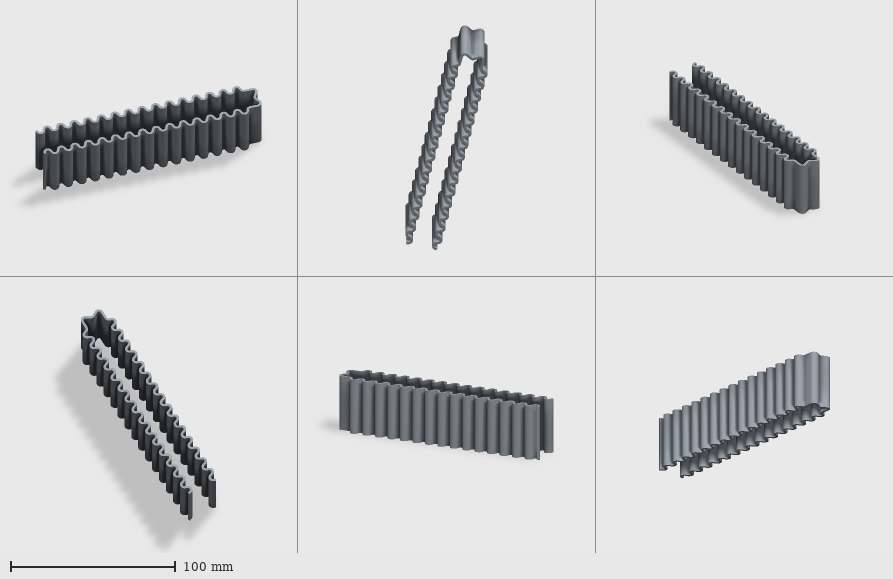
import cadquery as cq
import math

OVERALL_WIDTH = 23.0
OVERALL_LENGTH = 138.3
HEIGHT = 34.0
THICKNESS = 1.5
INSIDE_BEND_RADIUS = 1.2
WAVE_DEPTH = 5.5
WAVE_COUNT = 15
WAVES_LENGTH = 127.5
DIP_DEPTH = 2.2

BEND_RADIUS = INSIDE_BEND_RADIUS + THICKNESS / 2
HALF_PITCH = WAVES_LENGTH / WAVE_COUNT / 2
CREST_OFFSET = WAVE_DEPTH - THICKNESS
LEG_X = OVERALL_WIDTH / 2 - WAVE_DEPTH + THICKNESS / 2
TOP_Y = OVERALL_LENGTH / 2 - THICKNESS / 2
DIP_Y = TOP_Y - DIP_DEPTH


def tangent_between_bends(run, rise):
    """Length and slope (degrees from X) of the straight joining two opposite bends.

    run and rise are the X and Y distances between the centres of the bends,
    which turn in opposite directions.
    """
    length = math.sqrt(run**2 + rise**2 - (2 * BEND_RADIUS) ** 2)
    slope = math.atan2(rise, run) - math.atan2(2 * BEND_RADIUS, length)
    return length, abs(math.degrees(slope))


class Centreline:
    """Chain of tangent straights and bends, grown from a point and a heading."""

    def __init__(self, x, y, heading):
        self.x = x
        self.y = y
        self.heading = heading
        self.path = cq.Workplane("XY").moveTo(x, y)

    def straight(self, length):
        """Run on along the current heading."""
        direction = math.radians(self.heading)
        self.x += length * math.cos(direction)
        self.y += length * math.sin(direction)
        self.path = self.path.lineTo(self.x, self.y)

    def bend(self, angle):
        """Turn by angle degrees, positive to the left."""
        side = math.copysign(90, angle)
        to_centre = math.radians(self.heading + side)
        centre_x = self.x + BEND_RADIUS * math.cos(to_centre)
        centre_y = self.y + BEND_RADIUS * math.sin(to_centre)

        def point_after(turn):
            outward = math.radians(self.heading + turn - side)
            return (
                centre_x + BEND_RADIUS * math.cos(outward),
                centre_y + BEND_RADIUS * math.sin(outward),
            )

        middle = point_after(angle / 2)
        end = point_after(angle)
        self.path = self.path.threePointArc(middle, end)
        self.x, self.y = end
        self.heading += angle


dip_flank, dip_slope = tangent_between_bends(LEG_X - BEND_RADIUS, 2 * BEND_RADIUS - DIP_DEPTH)
wave_flank, wave_slope = tangent_between_bends(CREST_OFFSET - 2 * BEND_RADIUS, HALF_PITCH)

slope = math.radians(wave_slope)
end_drop = (BEND_RADIUS + THICKNESS / 2) * math.cos(slope) + wave_flank * math.sin(slope)
first_crest_y = -OVERALL_LENGTH / 2 + end_drop + WAVES_LENGTH
plain_leg = TOP_Y - BEND_RADIUS - first_crest_y

line = Centreline(0, DIP_Y, 0)
line.bend(dip_slope)
line.straight(dip_flank)
line.bend(-(dip_slope + 90))
line.straight(plain_leg)
line.bend(90 - wave_slope)
line.straight(wave_flank)
crest_turn = 180 - 2 * wave_slope
for wave in range(WAVE_COUNT):
    line.bend(-crest_turn)
    line.straight(wave_flank)
    line.bend(crest_turn)
    line.straight(wave_flank)

section = cq.Workplane("YZ", origin=(0, DIP_Y, 0)).rect(THICKNESS, HEIGHT)
half = section.sweep(line.path.wire())

result = half.union(half.mirror("YZ"))